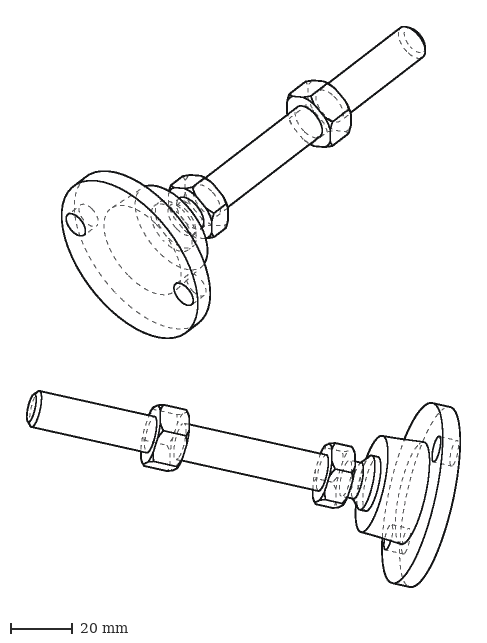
import cadquery as cq
import math

total_length = 137.0

plate_diameter = 60.0
plate_thickness = 6.0
hole_diameter = 8.5
hole_offset = 23.7

socket_base_radius = 17.0
socket_top_radius = 16.0
socket_top = 20.0

collar_radius = 9.0
collar_top = 22.0
cone_top = 25.0
stud_radius = 6.0
tip_chamfer = 1.4

nut_across_flats = 19.0
nut_corner_radius = nut_across_flats / math.sqrt(3)
nut_face_radius = 9.9
nut_chamfer_height = 1.1
lower_nut_start = 29.0
lower_nut_height = 8.0
upper_nut_start = 86.0
upper_nut_height = 10.0


def revolve_about_y(profile_points):
    """Revolve a closed (radius, Y) profile about the Y axis."""
    profile = cq.Workplane("XY").polyline(profile_points).close()
    return profile.revolve(360, (0, 0, 0), (0, 1, 0))


def make_turned_body():
    plate_radius = plate_diameter / 2
    return revolve_about_y([
        (0, 0),
        (plate_radius, 0),
        (plate_radius, plate_thickness),
        (socket_base_radius, plate_thickness),
        (socket_top_radius, socket_top),
        (collar_radius, socket_top),
        (collar_radius, collar_top),
        (stud_radius, cone_top),
        (stud_radius, total_length - tip_chamfer),
        (stud_radius - tip_chamfer, total_length),
        (0, total_length),
    ])


def make_nut(start, height):
    """Make a hexagon nut with conically chamfered corners at both ends."""
    end = start + height
    hexagon = (
        cq.Workplane("XZ", origin=(0, start, 0))
        .transformed(rotate=(0, 0, 90))
        .polygon(6, 2 * nut_corner_radius)
        .extrude(-height)
    )
    chamfer_envelope = revolve_about_y([
        (0, start),
        (nut_face_radius, start),
        (nut_corner_radius, start + nut_chamfer_height),
        (nut_corner_radius, end - nut_chamfer_height),
        (nut_face_radius, end),
        (0, end),
    ])
    return hexagon.intersect(chamfer_envelope)


def make_mounting_holes():
    return (
        cq.Workplane("XZ")
        .pushPoints([(-hole_offset, 0), (hole_offset, 0)])
        .circle(hole_diameter / 2)
        .extrude(-plate_thickness)
    )


result = (
    make_turned_body()
    .union(make_nut(lower_nut_start, lower_nut_height))
    .union(make_nut(upper_nut_start, upper_nut_height))
    .cut(make_mounting_holes())
)